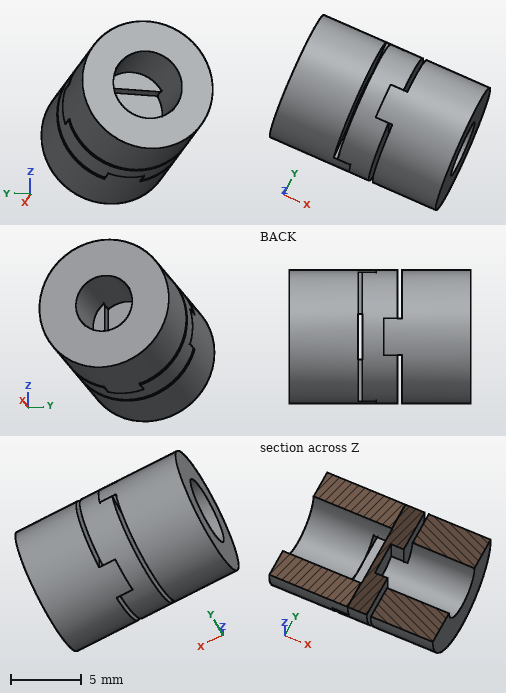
import cadquery as cq

total_length = 12.9
outer_diameter = 9.5
left_bore_diameter = 5.0
right_bore_diameter = 4.13
hub_length = 4.9
gap = 0.3
tongue_width = 2.6
web_thickness = 0.5

disc_thickness = total_length - 2 * (hub_length + gap)
slot_depth = (disc_thickness - web_thickness) / 2
tongue_length = gap + slot_depth

half_length = total_length / 2
half_disc = disc_thickness / 2
half_web = web_thickness / 2


def cylinder_x(diameter, x_start, length):
    """Solid cylinder on the X axis, starting at x_start and running toward +X."""
    return cq.Workplane("YZ", origin=(x_start, 0, 0)).circle(diameter / 2).extrude(length)


def cross_bar(x_start, length, size_y, size_z):
    """Rectangular bar across the axis, starting at x_start and running toward +X."""
    return cq.Workplane("YZ", origin=(x_start, 0, 0)).rect(size_y, size_z).extrude(length)


def make_left_hub():
    """Hub whose tongue runs along Y."""
    full_length = hub_length + tongue_length
    tongue = cylinder_x(outer_diameter, -half_length, full_length).intersect(
        cross_bar(-half_length, full_length, outer_diameter, tongue_width)
    )
    body = cylinder_x(outer_diameter, -half_length, hub_length).union(tongue)
    return body.cut(cylinder_x(left_bore_diameter, -half_length, full_length))


def make_right_hub():
    """Hub whose tongue runs along Z."""
    full_length = hub_length + tongue_length
    x_start = half_length - full_length
    tongue = cylinder_x(outer_diameter, x_start, full_length).intersect(
        cross_bar(x_start, full_length, tongue_width, outer_diameter)
    )
    body = cylinder_x(outer_diameter, half_length - hub_length, hub_length).union(tongue)
    return body.cut(cylinder_x(right_bore_diameter, x_start, full_length))


def make_disc():
    """Solid middle disc with one slot in each face, at right angles to each other."""
    left_slot = cross_bar(-half_disc, slot_depth, outer_diameter, tongue_width)
    right_slot = cross_bar(half_web, slot_depth, tongue_width, outer_diameter)
    return cylinder_x(outer_diameter, -half_disc, disc_thickness).cut(left_slot).cut(right_slot)


left_hub = make_left_hub().solids()
right_hub = make_right_hub().solids()
disc = make_disc().solids()

result = cq.Compound.makeCompound([left_hub.val(), right_hub.val(), disc.val()])